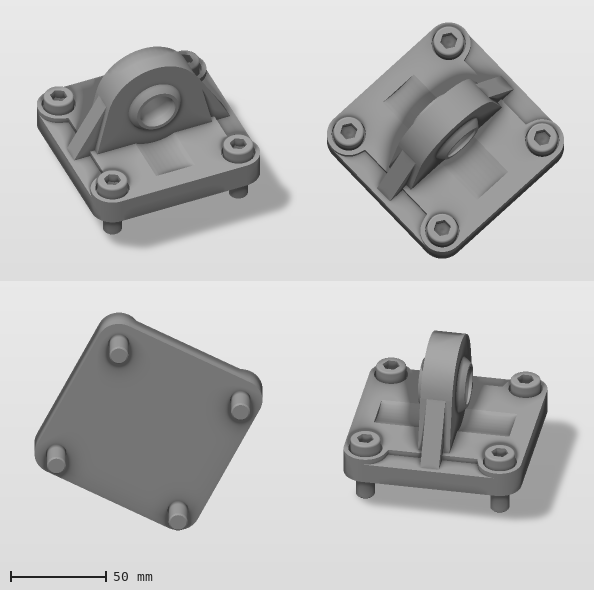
import cadquery as cq
import math

PLATE_SIDE = 95.0
PLATE_THICKNESS = 14.0
SCREW_OFFSET = 36.0
CORNER_RADIUS = PLATE_SIDE / 2 - SCREW_OFFSET

STEP_DEPTH = 3.0
STEP_START = 35.5
BOSS_RADIUS = CORNER_RADIUS
FLANK_REACH = 12.2

EYE_RADIUS = 27.0
EYE_WIDTH = 17.0
EYE_BASE_HALF = 32.9
EYE_CENTER_Z = PLATE_THICKNESS + 22.0
BALL_DIAMETER = 34.6
BALL_WIDTH = 25.1
BORE_DIAMETER = 20.0

RIB_WIDTH = 10.0
RIB_FOOT = 44.65

TROUGH_LENGTH = 72.6
TROUGH_RADIUS = 24.7

SHANK_DIAMETER = 10.0
SHANK_PROJECTION = 15.0
TIP_CHAMFER = 0.8
HEAD_DIAMETER = 16.0
HEAD_HEIGHT = 10.0
HEAD_FILLET = 1.0
SOCKET_FLATS = 8.0
SOCKET_DEPTH = 5.0
SOCKET_POINT_ANGLE = 120.0
CLEARANCE_DIAMETER = 11.0
COUNTERBORE_DIAMETER = 18.0
COUNTERBORE_DEPTH = 4.0
SEAT_Z = PLATE_THICKNESS - COUNTERBORE_DEPTH

SIGNS = (-1, 1)
SCREW_POINTS = [(x * SCREW_OFFSET, y * SCREW_OFFSET) for x in SIGNS for y in SIGNS]


def eye_tangent_point():
    """Y and Z of the point where the +Y flank of the eye runs into its round top."""
    rise = EYE_CENTER_Z - PLATE_THICKNESS
    base_distance = math.hypot(EYE_BASE_HALF, rise)
    angle = math.acos(EYE_RADIUS / base_distance) - math.atan2(rise, EYE_BASE_HALF)
    return EYE_RADIUS * math.cos(angle), EYE_CENTER_Z + EYE_RADIUS * math.sin(angle)


def x_cylinder(diameter, length):
    """Cylinder on the eye axis, centred on X = 0."""
    return (
        cq.Workplane("YZ", origin=(-length / 2, 0, EYE_CENTER_Z))
        .circle(diameter / 2)
        .extrude(length)
    )


def make_lowered_strip():
    """Space above the lowered +Y edge, between two round bosses and their tangent flanks."""
    wall_y = STEP_START - SCREW_OFFSET
    end_distance = math.hypot(FLANK_REACH, wall_y)
    tangent_angle = math.atan2(wall_y, FLANK_REACH) + math.acos(BOSS_RADIUS / end_distance)
    middle_angle = (tangent_angle + math.pi / 2) / 2

    def boss_point(angle):
        return BOSS_RADIUS * math.cos(angle) - SCREW_OFFSET, BOSS_RADIUS * math.sin(angle) + SCREW_OFFSET

    def mirrored(point):
        return -point[0], point[1]

    edge = boss_point(math.pi / 2)
    middle = boss_point(middle_angle)
    tangent = boss_point(tangent_angle)
    flank_end = (FLANK_REACH - SCREW_OFFSET, STEP_START)
    return (
        cq.Workplane("XY", origin=(0, 0, PLATE_THICKNESS - STEP_DEPTH))
        .moveTo(*edge)
        .threePointArc(middle, tangent)
        .lineTo(*flank_end)
        .lineTo(*mirrored(flank_end))
        .lineTo(*mirrored(tangent))
        .threePointArc(mirrored(middle), mirrored(edge))
        .close()
        .extrude(STEP_DEPTH)
    )


def make_plate():
    """Rounded square plate with a lowered strip along the -Y and +Y edges."""
    plate = (
        cq.Workplane("XY")
        .rect(PLATE_SIDE, PLATE_SIDE)
        .extrude(PLATE_THICKNESS)
        .edges("|Z")
        .fillet(CORNER_RADIUS)
    )
    strip = make_lowered_strip()
    return plate.cut(strip).cut(strip.mirror("XZ"))


def make_trough():
    """Cylindrical trough, left solid where the eye stands across it."""
    return x_cylinder(2 * TROUGH_RADIUS, TROUGH_LENGTH).cut(x_cylinder(2 * TROUGH_RADIUS, EYE_WIDTH))


def make_eye():
    """Upright lug with a round top and flanks tangent to it."""
    tangent_y, tangent_z = eye_tangent_point()
    return (
        cq.Workplane("YZ", origin=(-EYE_WIDTH / 2, 0, 0))
        .moveTo(-EYE_BASE_HALF, PLATE_THICKNESS)
        .lineTo(EYE_BASE_HALF, PLATE_THICKNESS)
        .lineTo(tangent_y, tangent_z)
        .threePointArc((0, EYE_CENTER_Z + EYE_RADIUS), (-tangent_y, tangent_z))
        .close()
        .extrude(EYE_WIDTH)
    )


def make_ribs():
    """Pair of sloping ribs, made as one web that runs through the eye."""
    tangent_y, tangent_z = eye_tangent_point()
    foot_z = PLATE_THICKNESS - STEP_DEPTH
    return (
        cq.Workplane("YZ", origin=(-RIB_WIDTH / 2, 0, 0))
        .polyline([
            (-RIB_FOOT, foot_z),
            (RIB_FOOT, foot_z),
            (tangent_y, tangent_z),
            (-tangent_y, tangent_z),
        ])
        .close()
        .extrude(RIB_WIDTH)
    )


def make_ball():
    """Spherical bearing ball with flat ends."""
    half_width = BALL_WIDTH / 2
    end_radius = math.sqrt((BALL_DIAMETER / 2) ** 2 - half_width ** 2)
    return (
        cq.Workplane("XY")
        .moveTo(-half_width, 0)
        .lineTo(-half_width, end_radius)
        .threePointArc((0, BALL_DIAMETER / 2), (half_width, end_radius))
        .lineTo(half_width, 0)
        .close()
        .revolve(360, (0, 0), (1, 0))
        .translate((0, 0, EYE_CENTER_Z))
    )


def make_housing():
    """Plate, eye, ribs and ball in one solid, with the bore and the stepped screw holes."""
    clearance = cq.Workplane("XY").pushPoints(SCREW_POINTS).circle(CLEARANCE_DIAMETER / 2)
    counterbore = (
        cq.Workplane("XY", origin=(0, 0, SEAT_Z))
        .pushPoints(SCREW_POINTS)
        .circle(COUNTERBORE_DIAMETER / 2)
    )
    return (
        make_plate()
        .cut(make_trough())
        .union(make_eye())
        .union(make_ribs())
        .union(make_ball())
        .cut(x_cylinder(BORE_DIAMETER, BALL_WIDTH))
        .cut(clearance.extrude(PLATE_THICKNESS))
        .cut(counterbore.extrude(COUNTERBORE_DEPTH))
    )


def make_socket():
    """Hexagonal socket whose bottom is a drill-point cone."""
    corner_radius = SOCKET_FLATS / math.sqrt(3)
    point_depth = corner_radius / math.tan(math.radians(SOCKET_POINT_ANGLE / 2))
    total_depth = SOCKET_DEPTH + point_depth
    hexagon = cq.Workplane("XY").polygon(6, 2 * corner_radius).extrude(-total_depth)
    drill = (
        cq.Workplane("XZ")
        .polyline([
            (0, 0),
            (corner_radius, 0),
            (corner_radius, -SOCKET_DEPTH),
            (0, -total_depth),
        ])
        .close()
        .revolve(360, (0, 0), (0, 1))
    )
    return hexagon.intersect(drill).translate((0, 0, SEAT_Z + HEAD_HEIGHT))


def make_screw():
    """Socket head screw on the Z axis, its head seated at SEAT_Z."""
    head = (
        cq.Workplane("XY", origin=(0, 0, SEAT_Z))
        .circle(HEAD_DIAMETER / 2)
        .extrude(HEAD_HEIGHT)
        .faces(">Z")
        .edges()
        .fillet(HEAD_FILLET)
    )
    shank = (
        cq.Workplane("XY", origin=(0, 0, -SHANK_PROJECTION))
        .circle(SHANK_DIAMETER / 2)
        .extrude(SHANK_PROJECTION + SEAT_Z)
        .faces("<Z")
        .chamfer(TIP_CHAMFER)
    )
    return head.union(shank).cut(make_socket())


housing = make_housing()
screws = [make_screw().translate((x, y, 0)) for x, y in SCREW_POINTS]

result = cq.Compound.makeCompound([housing.val(), *[screw.val() for screw in screws]])